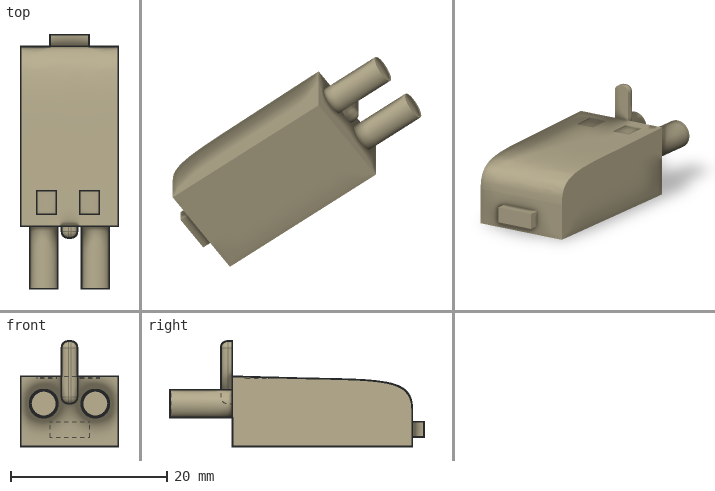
import cadquery as cq

body_width = 12.5
body_length = 23.0
front_height = 9.0
back_wall_height = 4.65

back_control_height = 9.56
top_control_inset = 4.8
top_control_height = 8.28

tab_width = 5.0
tab_length = 1.5
tab_height = 2.0
tab_bottom = 1.2

cable_diameter = 3.6
cable_length = 8.0
cable_spacing = 6.6
cable_height = 5.5
recess_diameter = 3.26
recess_depth = 0.1

pin_width = 2.05
pin_depth = 1.5
pin_bottom = 5.5
pin_top = 13.51
pin_rounding = 0.87

window_width = 2.5
window_length = 3.0
window_front = 1.55
window_centers = (-2.95, 2.55)
window_depth = 0.25


def make_body():
    """Side profile with a rounded back, extruded across the width."""
    return (
        cq.Workplane("YZ", origin=(-body_width / 2, 0, 0))
        .moveTo(0, 0)
        .lineTo(body_length, 0)
        .lineTo(body_length, back_wall_height)
        .bezier(
            [
                (body_length, back_wall_height),
                (body_length, back_control_height),
                (body_length - top_control_inset, top_control_height),
                (0, front_height),
            ]
        )
        .close()
        .extrude(body_width)
    )


def make_tab():
    """Rectangular tab on the back face."""
    return (
        cq.Workplane("XY", origin=(0, body_length, tab_bottom))
        .box(tab_width, tab_length, tab_height, centered=(True, False, False))
    )


def make_cable(x):
    """Round cable stub with a shallow recess in its free end."""
    cable = (
        cq.Workplane("XZ", origin=(x, 0, cable_height))
        .circle(cable_diameter / 2)
        .extrude(cable_length)
    )
    return cable.faces("<Y").workplane().circle(recess_diameter / 2).cutBlind(-recess_depth)


def make_pin():
    """Upright bar with every edge rounded except those of its flat back."""
    return (
        cq.Workplane("XY")
        .box(pin_width, pin_depth, pin_top - pin_bottom, centered=(True, False, False))
        .translate((0, -pin_depth, pin_bottom))
        .edges("not >Y")
        .fillet(pin_rounding)
    )


def make_window(x):
    """Cutting block for one window; its flat floor lies just below the top surface."""
    window_floor = front_height - window_depth
    return cq.Workplane("XY", origin=(x, window_front, window_floor)).box(
        window_width, window_length, window_depth, centered=(True, False, False)
    )


result = make_body().union(make_tab()).union(make_pin())
for cable_x in (-cable_spacing / 2, cable_spacing / 2):
    result = result.union(make_cable(cable_x))
for window_x in window_centers:
    result = result.cut(make_window(window_x))